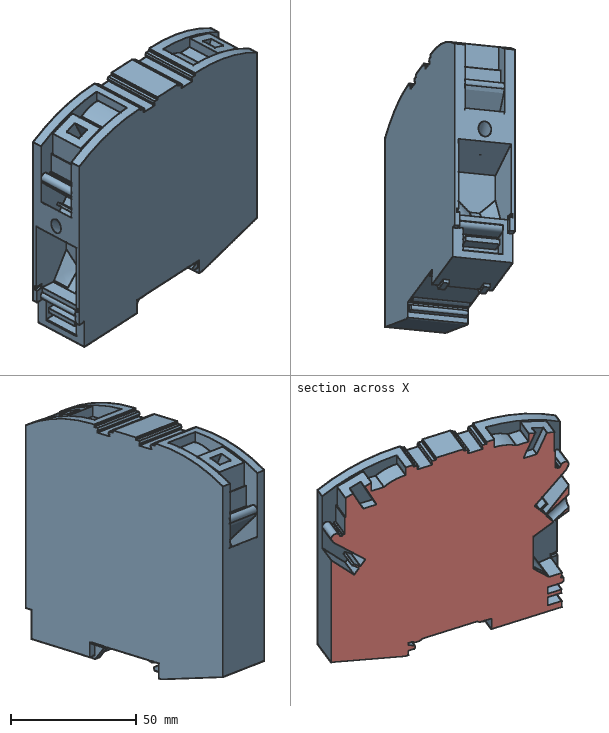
import cadquery as cq
import math

WIDTH = 25.0
LENGTH = 105.5
TOP = 101.3
HALF = LENGTH / 2
SHOULDER_Z = 91.9
FLAT_ROOF_Y = 17.3

BOTTOM = 1.5
RAIL_ROOF_Z = 7.9
RAIL_HALF = 18.4
SLOPE_START_Z = 10.5
SLOPE_END_Y = 19.9
LOWER_FACE_Y = -49.7
STEP_Z = 13.9

GROOVE_Y = 11.2
GROOVE_FLOOR_Z = 98.2
LEDGE_Z = 100.2
GROOVE_TOP_HALF = 5.0
GROOVE_FLOOR_HALF = 3.2
LIP = 0.5
BEAD_WIDTH = 24.2
BEAD_BOTTOM_Z = 100.5
BEAD_TOP_Z = 101.1

WINDOW_WIDTH = 16.4
WINDOW_INNER_Y = -19.7
WINDOW_SILL_Z = 64.7
LEVER_TOP_Z = 97.2
LEVER_RADIUS = 18.5
LEVER_DECK_Y = -29.3
TERMINAL_FACE_Y = -46.7
TERMINAL_TOP_Z = 84.9
NOSE_LEDGE_Z = 75.6
NOSE_STEP = 1.0
NOSE_STEP_RISE = 0.6
NOSE_RADIUS = 1.9
NOSE_Y = -50.9
NOSE_Z = 75.9
NOSE_BACK_FOOT_Y = -48.5
NOSE_BACK_TOP = (-49.2, 76.8)
CHIN_TOP = (-52.4, 74.8)
CHIN_BOTTOM = (-51.6, 73.2)
CHANNEL_TOP = (-37.7, 59.3)
CHANNEL_BOTTOM = (-42.5, 53.2)
TONGUE_LENGTH = 3.7
TONGUE_THICKNESS = 1.1

LEVER_WIDTH = 15.2
BUTTON_FACE_Y = -46.4
BUTTON_BACK_Y = -34.8
BUTTON_FRONT_Z = 95.1
BUTTON_BACK_Z = 98.9
BUTTON_HOLE_WIDTH = 6.6
BUTTON_HOLE_FRONT_Y = -42.9
BUTTON_HOLE_BACK_Y = -38.0
BUTTON_HOLE_FLOOR_Z = 86.5
BUTTON_HOLE_LEAN = 25.0

TEST_HOLE_Z = 56.5
TEST_HOLE_DIAMETER = 5.3
TEST_HOLE_TILT = 36.0
TEST_HOLE_DEPTH = 10.5

POCKET_HALF = 10.9
POCKET_BACK_HALF = 8.7
POCKET_BACK_Y = -37.1
POCKET_TOP_Z = 51.2
POCKET_BACK_TOP_Z = 43.4
POCKET_FLOOR_Z = 19.7
RAMP_RISE = 6.8
SCOOP_FOOT_Z = 20.3
SCOOP_FOOT_Y = -43.5
SCOOP_INNER_X = 2.1
SCOOP_INNER_Z = 26.5
SCOOP_OUTER_Z = 32.7
MOUTH_HALF = 10.3
NOTCH_HALF = 11.6
NOTCH_HEIGHT = 1.6

RECESS_WIDTH = 16.4
RECESS_BOTTOM_Z = 4.6
RECESS_TOP_Z = 14.2
RECESS_DEPTH = 6.3
RECESS_CHAMFER = 0.3
LATCH_BAR_RADIUS = 1.6
LATCH_BAR_SETBACK = 0.6
RIDGE_WIDTH = 14.1
RIDGE_BOTTOM_Z = 9.0
RIDGE_TOP_Z = 11.1
RIDGE_SETBACK = 0.2

FOOT_CENTER_X = 8.4
FOOT_WIDTH = 2.5
FOOT_FRONT_Y = -25.2
FOOT_TOE_Y = -17.9
HOOK_ROOT_Z = 6.9
HOOK_TIP = (-13.4, 5.7)
GRIP_WIDTH = 23.6
NUB_ROOT_Z = 7.1
NUB_BOTTOM_Z = 3.9
NUB_SHOULDER = (15.7, 5.7)
NUB_TIP = (15.3, 4.7)
NUB_HEEL_Y = 15.9
PAD_DROP = 0.8
PAD_INNER_Y = 12.1
REAR_PAD_OUTER_Y = 16.6
PAD_CREST_Y = 14.3
FRONT_PAD_BULGE = (-12.9, 7.3)


def extrude_x(sketch, x_min, x_max):
    """Extrude a closed YZ sketch between two X positions."""
    return sketch.extrude(x_max - x_min).translate((x_min, 0, 0))


def slab(points, width):
    """Extrude a YZ polygon symmetrically about X = 0."""
    return extrude_x(cq.Workplane("YZ").polyline(points).close(), -width / 2, width / 2)


def block(x_min, x_max, y_min, y_max, z_min, z_max):
    size = (x_max - x_min, y_max - y_min, z_max - z_min)
    return cq.Workplane("XY").box(*size, centered=False).translate((x_min, y_min, z_min))


def mirrored(shape):
    return shape.mirror("XZ")


def make_housing():
    run = HALF - FLAT_ROOF_Y
    drop = TOP - SHOULDER_Z
    radius = (run**2 + drop**2) / (2 * drop)
    half_angle = math.asin(run / radius) / 2
    mid_y = FLAT_ROOF_Y + radius * math.sin(half_angle)
    mid_z = TOP - radius * (1 - math.cos(half_angle))
    outline = (
        cq.Workplane("YZ")
        .moveTo(-FLAT_ROOF_Y, TOP)
        .lineTo(FLAT_ROOF_Y, TOP)
        .threePointArc((mid_y, mid_z), (HALF, SHOULDER_Z))
        .lineTo(HALF, SLOPE_START_Z)
        .lineTo(SLOPE_END_Y, BOTTOM)
        .lineTo(RAIL_HALF, BOTTOM)
        .lineTo(RAIL_HALF, RAIL_ROOF_Z)
        .lineTo(-RAIL_HALF, RAIL_ROOF_Z)
        .lineTo(-RAIL_HALF, BOTTOM)
        .lineTo(LOWER_FACE_Y, BOTTOM)
        .lineTo(LOWER_FACE_Y, STEP_Z)
        .lineTo(-HALF, STEP_Z)
        .lineTo(-HALF, SHOULDER_Z)
        .threePointArc((-mid_y, mid_z), (-FLAT_ROOF_Y, TOP))
        .close()
    )
    return extrude_x(outline, -WIDTH / 2, WIDTH / 2)


def roof_groove():
    """Stepped groove with a lip on each lower wall and a bead on each upper wall."""
    lip_z = (LEDGE_Z + GROOVE_FLOOR_Z) / 2
    side = [
        (GROOVE_FLOOR_HALF, GROOVE_FLOOR_Z),
        (GROOVE_FLOOR_HALF, lip_z - LIP / 2),
        (GROOVE_FLOOR_HALF - LIP, lip_z),
        (GROOVE_FLOOR_HALF, LEDGE_Z),
        (GROOVE_TOP_HALF, LEDGE_Z),
        (GROOVE_TOP_HALF, TOP),
    ]
    right = [(GROOVE_Y + y, z) for y, z in side]
    left = [(GROOVE_Y - y, z) for y, z in reversed(side)]
    opening = slab(right + left, WIDTH)
    bead_x = BEAD_WIDTH / 2
    for wall_y in (GROOVE_Y - GROOVE_TOP_HALF, GROOVE_Y + GROOVE_TOP_HALF):
        bead = block(-bead_x, bead_x, wall_y - LIP, wall_y + LIP, BEAD_BOTTOM_Z, BEAD_TOP_Z)
        opening = opening.cut(bead)
    return opening


def terminal_window():
    """Opening for the clamping lever, open to the roof and the end face."""
    step_y = TERMINAL_FACE_Y - NOSE_STEP
    step_z = NOSE_LEDGE_Z + NOSE_STEP_RISE
    outline = (
        cq.Workplane("YZ")
        .moveTo(WINDOW_INNER_Y, TOP)
        .lineTo(WINDOW_INNER_Y, TERMINAL_TOP_Z)
        .lineTo(TERMINAL_FACE_Y, TERMINAL_TOP_Z)
        .lineTo(TERMINAL_FACE_Y, step_z)
        .lineTo(step_y, step_z)
        .lineTo(step_y, NOSE_LEDGE_Z)
        .lineTo(NOSE_BACK_FOOT_Y, NOSE_LEDGE_Z)
        .lineTo(*NOSE_BACK_TOP)
        .lineTo(NOSE_Y, NOSE_Z)
        .lineTo(*CHIN_TOP)
        .lineTo(*CHIN_BOTTOM)
        .lineTo(*CHANNEL_TOP)
        .lineTo(*CHANNEL_BOTTOM)
        .lineTo(-HALF, WINDOW_SILL_Z)
        .lineTo(-HALF, TOP)
        .close()
    )
    return extrude_x(outline, -WINDOW_WIDTH / 2, WINDOW_WIDTH / 2)


def lever_nose():
    nose = cq.Workplane("YZ").center(NOSE_Y, NOSE_Z).circle(NOSE_RADIUS)
    return extrude_x(nose, -WINDOW_WIDTH / 2, WINDOW_WIDTH / 2)


def channel_tongue():
    """Thin plate standing square on the end wall of the wire channel."""
    wall_y = CHANNEL_TOP[0] - CHANNEL_BOTTOM[0]
    wall_z = CHANNEL_TOP[1] - CHANNEL_BOTTOM[1]
    wall_tilt = math.degrees(math.atan2(wall_z, wall_y))
    mid_y = (CHANNEL_TOP[0] + CHANNEL_BOTTOM[0]) / 2
    mid_z = (CHANNEL_TOP[1] + CHANNEL_BOTTOM[1]) / 2
    plate = cq.Workplane("XY").box(WINDOW_WIDTH, TONGUE_THICKNESS, 2 * TONGUE_LENGTH)
    plate = plate.rotate((0, 0, 0), (1, 0, 0), wall_tilt)
    return plate.translate((0, mid_y, mid_z))


def clamping_lever():
    """Lever with a rounded back, a level deck and a push button with a leaning hole."""
    run = WINDOW_INNER_Y - LEVER_DECK_Y
    end_angle = math.asin(run / LEVER_RADIUS)
    deck_z = LEVER_TOP_Z - LEVER_RADIUS * (1 - math.cos(end_angle))
    mid_y = WINDOW_INNER_Y - LEVER_RADIUS * math.sin(end_angle / 2)
    mid_z = LEVER_TOP_Z - LEVER_RADIUS * (1 - math.cos(end_angle / 2))
    outline = (
        cq.Workplane("YZ")
        .moveTo(WINDOW_INNER_Y, TERMINAL_TOP_Z)
        .lineTo(WINDOW_INNER_Y, LEVER_TOP_Z)
        .threePointArc((mid_y, mid_z), (LEVER_DECK_Y, deck_z))
        .lineTo(BUTTON_BACK_Y, deck_z)
        .lineTo(BUTTON_BACK_Y, BUTTON_BACK_Z)
        .lineTo(BUTTON_FACE_Y, BUTTON_FRONT_Z)
        .lineTo(BUTTON_FACE_Y, TERMINAL_TOP_Z)
        .close()
    )
    return extrude_x(outline, -LEVER_WIDTH / 2, LEVER_WIDTH / 2)


def button_hole():
    slope = (BUTTON_BACK_Z - BUTTON_FRONT_Z) / (BUTTON_BACK_Y - BUTTON_FACE_Y)
    lean = math.tan(math.radians(BUTTON_HOLE_LEAN))

    def side(mouth_y):
        mouth_z = BUTTON_FRONT_Z + slope * (mouth_y - BUTTON_FACE_Y)
        bottom_y = mouth_y + lean * (mouth_z - BUTTON_HOLE_FLOOR_Z)
        return [(mouth_y, mouth_z), (bottom_y, BUTTON_HOLE_FLOOR_Z)]

    outline = side(BUTTON_HOLE_FRONT_Y) + list(reversed(side(BUTTON_HOLE_BACK_Y)))
    return slab(outline, BUTTON_HOLE_WIDTH)


def test_hole():
    tilt = math.radians(TEST_HOLE_TILT)
    inward = cq.Vector(0, math.cos(tilt), -math.sin(tilt))
    mouth = cq.Vector(0, -HALF, TEST_HOLE_Z)
    start = mouth - inward * TEST_HOLE_DIAMETER
    length = TEST_HOLE_DEPTH + TEST_HOLE_DIAMETER
    return cq.Workplane(obj=cq.Solid.makeCylinder(TEST_HOLE_DIAMETER / 2, length, start, inward))


def front_pocket():
    """Pocket narrowing inward, with a sloping ceiling and a ramp at the back."""
    plan = (
        cq.Workplane("XY")
        .polyline(
            [
                (-POCKET_HALF, -HALF),
                (POCKET_HALF, -HALF),
                (POCKET_BACK_HALF, POCKET_BACK_Y),
                (-POCKET_BACK_HALF, POCKET_BACK_Y),
            ]
        )
        .close()
        .extrude(POCKET_TOP_Z)
    )
    section = slab(
        [
            (-HALF, POCKET_FLOOR_Z),
            (-HALF, POCKET_TOP_Z),
            (POCKET_BACK_Y, POCKET_BACK_TOP_Z),
            (POCKET_BACK_Y, POCKET_FLOOR_Z + RAMP_RISE),
            (POCKET_BACK_Y - RAMP_RISE, POCKET_FLOOR_Z),
        ],
        WIDTH,
    )
    return plan.intersect(section)


def pocket_scoop():
    """Corner fill in the +X half of the pocket with a twisted ruled top."""
    outer_x = POCKET_HALF
    back_inner = cq.Vector(SCOOP_INNER_X, POCKET_BACK_Y, SCOOP_INNER_Z)
    slope = (SCOOP_OUTER_Z - SCOOP_INNER_Z) / (POCKET_BACK_HALF - SCOOP_INNER_X)
    back_outer_z = SCOOP_INNER_Z + slope * (outer_x - SCOOP_INNER_X)
    back_outer = cq.Vector(outer_x, POCKET_BACK_Y, back_outer_z)
    foot_inner = cq.Vector(SCOOP_INNER_X, SCOOP_FOOT_Y, SCOOP_FOOT_Z)
    foot_outer = cq.Vector(outer_x, SCOOP_FOOT_Y, SCOOP_FOOT_Z)
    drop = cq.Vector(0, 0, POCKET_FLOOR_Z - SCOOP_FOOT_Z)
    low_foot_inner = foot_inner + drop
    low_foot_outer = foot_outer + drop
    low_inner = cq.Vector(SCOOP_INNER_X, POCKET_BACK_Y, POCKET_FLOOR_Z)
    low_outer = cq.Vector(outer_x, POCKET_BACK_Y, POCKET_FLOOR_Z)

    def flat(*corners):
        return cq.Face.makeFromWires(cq.Wire.makePolygon(corners, close=True))

    top = cq.Face.makeRuledSurface(
        cq.Edge.makeLine(back_inner, back_outer),
        cq.Edge.makeLine(foot_inner, foot_outer),
    )
    faces = [
        top,
        flat(back_inner, back_outer, low_outer, low_inner),
        flat(foot_inner, foot_outer, low_foot_outer, low_foot_inner),
        flat(low_inner, low_outer, low_foot_outer, low_foot_inner),
        flat(back_inner, foot_inner, low_foot_inner, low_inner),
        flat(back_outer, foot_outer, low_foot_outer, low_outer),
    ]
    solid = cq.Solid.makeSolid(cq.Shell.makeShell(faces))
    return cq.Workplane(obj=solid.fix())


def pocket_mouth():
    """Gap between the side walls below the pocket, with a notch in each wall."""
    gap = block(-MOUTH_HALF, MOUTH_HALF, -HALF, LOWER_FACE_Y, 0, POCKET_FLOOR_Z)
    notch_top = POCKET_FLOOR_Z + NOTCH_HEIGHT
    notches = block(-NOTCH_HALF, NOTCH_HALF, -HALF, LOWER_FACE_Y, POCKET_FLOOR_Z, notch_top)
    return gap.union(notches)


def latch_recess():
    """Return the recess to cut, shaped around a ridge on its back wall, and the bar above it."""
    back_y = LOWER_FACE_Y + RECESS_DEPTH
    right_x = RECESS_WIDTH / 2
    recess = slab(
        [
            (LOWER_FACE_Y, RECESS_BOTTOM_Z),
            (LOWER_FACE_Y, RECESS_TOP_Z),
            (back_y, RECESS_TOP_Z),
            (back_y, RECESS_BOTTOM_Z + RECESS_CHAMFER),
            (LOWER_FACE_Y + RECESS_CHAMFER, RECESS_BOTTOM_Z + RECESS_CHAMFER),
        ],
        RECESS_WIDTH,
    )
    ridge_x = RIDGE_WIDTH / 2
    ridge_y = LOWER_FACE_Y + RIDGE_SETBACK
    ridge = block(-ridge_x, ridge_x, ridge_y, back_y, RIDGE_BOTTOM_Z, RIDGE_TOP_Z)
    bar_y = LOWER_FACE_Y + LATCH_BAR_SETBACK
    bar_z = RECESS_TOP_Z + LATCH_BAR_RADIUS
    bar_top = bar_z + LATCH_BAR_RADIUS
    bar_slot = block(-MOUTH_HALF, right_x, LOWER_FACE_Y, bar_y, RECESS_TOP_Z, bar_top)
    bar = extrude_x(
        cq.Workplane("YZ").center(bar_y, bar_z).circle(LATCH_BAR_RADIUS), -MOUTH_HALF, right_x
    )
    return recess.cut(ridge).union(bar_slot), bar


def rail_foot():
    """Hooked runners that catch the front flange of the rail."""
    outline = [
        (-RAIL_HALF, HOOK_ROOT_Z),
        HOOK_TIP,
        (FOOT_TOE_Y, 0),
        (FOOT_FRONT_Y, 0),
        (FOOT_FRONT_Y, RAIL_ROOF_Z),
        (-RAIL_HALF, RAIL_ROOF_Z),
    ]
    runner = slab(outline, FOOT_WIDTH)
    right = runner.translate((FOOT_CENTER_X, 0, 0))
    return right.union(runner.translate((-FOOT_CENTER_X, 0, 0)))


def rail_nub():
    """Rounded catch for the rear flange of the rail."""
    outline = (
        cq.Workplane("YZ")
        .moveTo(RAIL_HALF, NUB_ROOT_Z)
        .lineTo(*NUB_SHOULDER)
        .threePointArc(NUB_TIP, (NUB_HEEL_Y, NUB_BOTTOM_Z))
        .lineTo(RAIL_HALF, NUB_BOTTOM_Z)
        .close()
    )
    return extrude_x(outline, -GRIP_WIDTH / 2, GRIP_WIDTH / 2)


def rail_pads():
    """Shallow rounded pads under the roof of the rail seat."""
    pad_z = RAIL_ROOF_Z - PAD_DROP
    rear = cq.Workplane("YZ").moveTo(REAR_PAD_OUTER_Y, RAIL_ROOF_Z)
    rear = rear.threePointArc((PAD_CREST_Y, pad_z), (PAD_INNER_Y, RAIL_ROOF_Z)).close()
    front = (
        cq.Workplane("YZ")
        .moveTo(-PAD_INNER_Y, RAIL_ROOF_Z)
        .threePointArc(FRONT_PAD_BULGE, (-PAD_CREST_Y, pad_z))
        .lineTo(-RAIL_HALF, pad_z)
        .lineTo(-RAIL_HALF, RAIL_ROOF_Z)
        .close()
    )
    half = GRIP_WIDTH / 2
    return extrude_x(rear, -half, half).union(extrude_x(front, -half, half))


result = make_housing()

groove = roof_groove()
result = result.cut(groove).cut(mirrored(groove))

terminal = lever_nose().union(clamping_lever()).union(channel_tongue())
opening = terminal_window().cut(terminal).union(button_hole())
result = result.cut(opening).cut(mirrored(opening))

scoop = pocket_scoop()
pocket = front_pocket().cut(scoop).cut(scoop.mirror("YZ"))
result = result.cut(pocket).cut(pocket_mouth()).cut(test_hole())

recess, latch_bar = latch_recess()
result = result.cut(recess).union(latch_bar)

result = result.union(rail_foot()).union(rail_nub()).union(rail_pads())